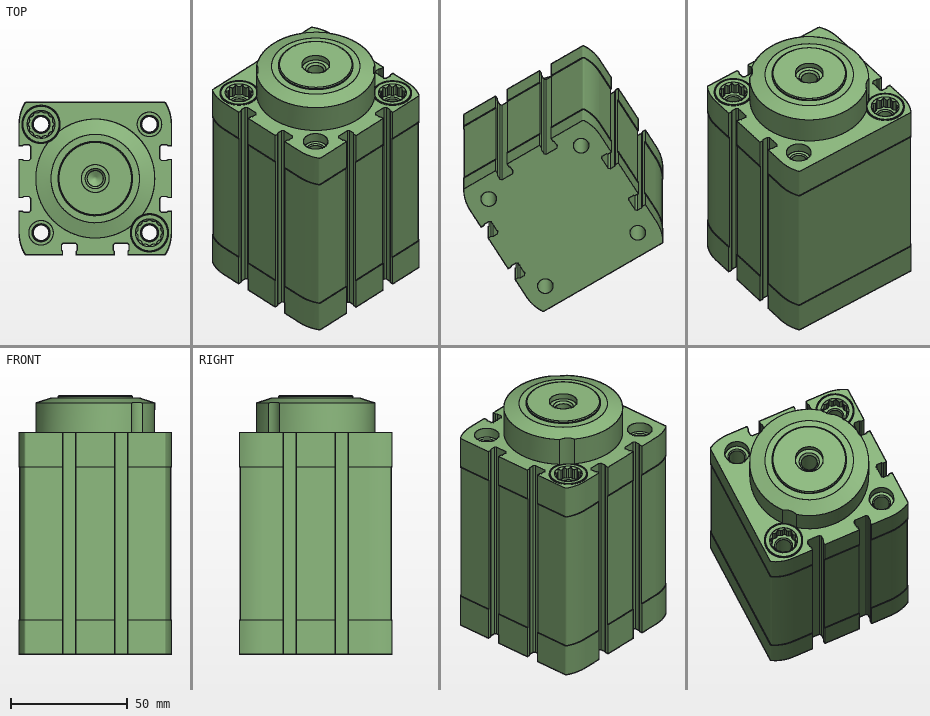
import cadquery as cq
import math

total_height = 111.0

housing_width = 65.5
housing_height = 95.2
cap_height = 14.8
middle_inset = 0.3
corner_arc_side_y = 23.2
corner_arc_end_x = 30.1
corner_fillet = 0.9

slot_offset = 11.1
slot_mouth_width = 5.8
slot_inner_width = 6.7
slot_depth = 5.0
slot_lip = 1.4
slot_corner_chamfer = 0.7

collar_diameter = 51.1
collar_top_diameter = 38.0
collar_edge_z = 107.9
collar_top_z = 110.0

hole_pitch = 46.5
hole_diameter = 6.7
hole_mouth_diameter = 7.8
counterbore_diameter = 10.5
counterbore_depth = 4.4

screw_diameter = 16.4
screw_chamfer = 0.4
socket_depth = 5.5
socket_mouth_diameter = 12.0
socket_tip_radius = 5.8
socket_ridge_radius = 5.1
socket_ridge_half_width = 0.39
socket_points = 12

rod_diameter = 32.0
rod_length = 33.3
rod_chamfer = 0.4
rod_counterbore_diameter = 12.0
rod_counterbore_depth = 2.5
rod_hole_diameter = 6.9
rod_hole_mouth_diameter = 8.7
rod_hole_depth = 20.0
drill_tip_angle = 118.0

half_width = housing_width / 2
hole_offset = hole_pitch / 2
rod_bottom_z = total_height - rod_length
plain_corners = [(hole_offset, hole_offset), (-hole_offset, -hole_offset)]
screw_corners = [(-hole_offset, hole_offset), (hole_offset, -hole_offset)]


def cylinder(diameter, bottom_z, height, center=(0, 0)):
    return cq.Workplane("XY", origin=(*center, bottom_z)).circle(diameter / 2).extrude(height)


def turned(profile, center=(0, 0)):
    """Revolve an (r, z) outline about the vertical axis through center."""
    solid = cq.Workplane("XZ").polyline(profile).close().revolve(360, (0, 0, 0), (0, 1, 0))
    return solid.translate((*center, 0))


def housing_prism(inset, bottom_z, height):
    """Square prism whose X sides bend into the Y sides along tangent corner arcs."""
    side = half_width - inset
    end_x = corner_arc_end_x
    run = side - corner_arc_side_y
    drop = side - end_x
    radius = (drop**2 + run**2) / (2 * drop)
    half_angle = math.asin(run / radius) / 2
    mid_x = side - radius * (1 - math.cos(half_angle))
    mid_y = corner_arc_side_y + radius * math.sin(half_angle)
    prism = (
        cq.Workplane("XY", origin=(0, 0, bottom_z))
        .moveTo(side, -corner_arc_side_y)
        .lineTo(side, corner_arc_side_y)
        .threePointArc((mid_x, mid_y), (end_x, side))
        .lineTo(-end_x, side)
        .threePointArc((-mid_x, mid_y), (-side, corner_arc_side_y))
        .lineTo(-side, -corner_arc_side_y)
        .threePointArc((-mid_x, -mid_y), (-end_x, -side))
        .lineTo(end_x, -side)
        .threePointArc((mid_x, -mid_y), (side, -corner_arc_side_y))
        .close()
        .extrude(height)
    )
    sharp_corners = cq.selectors.BoxSelector(
        (-end_x - corner_fillet, -side - corner_fillet, bottom_z),
        (end_x + corner_fillet, side + corner_fillet, bottom_z + height),
    )
    return prism.edges("|Z").edges(sharp_corners).fillet(corner_fillet)


def t_slot(offset, turn):
    """Full-height T-slot, cut into the -Y side and then turned about Z."""
    floor_y = slot_depth - half_width
    lip_y = slot_lip - half_width
    mouth = slot_mouth_width / 2
    inner = slot_inner_width / 2
    floor_half = inner - slot_corner_chamfer
    slot = (
        cq.Workplane("XY")
        .polyline([
            (offset - mouth, -half_width),
            (offset - mouth, lip_y),
            (offset - inner, lip_y + slot_corner_chamfer),
            (offset - inner, floor_y - slot_corner_chamfer),
            (offset - floor_half, floor_y),
            (offset + floor_half, floor_y),
            (offset + inner, floor_y - slot_corner_chamfer),
            (offset + inner, lip_y + slot_corner_chamfer),
            (offset + mouth, lip_y),
            (offset + mouth, -half_width),
        ])
        .close()
        .extrude(housing_height)
    )
    return slot.rotate((0, 0, 0), (0, 0, 1), turn)


def mouth_chamfer(top_diameter, hole, top_z, center=(0, 0)):
    """45 degree countersink from top_diameter down to the hole diameter."""
    depth = (top_diameter - hole) / 2
    profile = [(0, top_z), (top_diameter / 2, top_z), (hole / 2, top_z - depth), (0, top_z - depth)]
    return turned(profile, center)


def corner_hole(center, floor_z):
    """Through hole countersunk at the recess floor above it."""
    hole = cylinder(hole_diameter, 0, floor_z, center)
    return hole.union(mouth_chamfer(hole_mouth_diameter, hole_diameter, floor_z, center))


def plain_corner_cut(center):
    floor_z = housing_height - counterbore_depth
    recess = cylinder(counterbore_diameter, floor_z, counterbore_depth, center)
    return recess.union(corner_hole(center, floor_z))


def spline_socket(center):
    """Socket with pointed grooves separated by narrow flat ridges."""
    ridge_half_angle = math.asin(socket_ridge_half_width / socket_ridge_radius)
    step = 2 * math.pi / socket_points
    outline = []
    for i in range(socket_points):
        tip_angle = i * step
        ridge_angle = tip_angle + step / 2
        for radius, angle in (
            (socket_tip_radius, tip_angle),
            (socket_ridge_radius, ridge_angle - ridge_half_angle),
            (socket_ridge_radius, ridge_angle + ridge_half_angle),
        ):
            outline.append((radius * math.cos(angle), radius * math.sin(angle)))
    floor_z = housing_height - socket_depth
    return cq.Workplane("XY", origin=(*center, floor_z)).polyline(outline).close().extrude(socket_depth)


def screw_corner_cut(center):
    """Bearing screw head: chamfered rim, splined socket and the hole below it."""
    rim = screw_diameter / 2
    groove = turned([
        (rim - screw_chamfer, housing_height),
        (rim, housing_height),
        (rim, housing_height - screw_chamfer),
    ], center)
    mouth = mouth_chamfer(socket_mouth_diameter, 2 * socket_ridge_radius, housing_height, center)
    hole = corner_hole(center, housing_height - socket_depth)
    clearance = cylinder(screw_diameter, housing_height, total_height - housing_height, center)
    return groove.union(spline_socket(center)).union(mouth).union(hole).union(clearance)


def make_housing():
    middle_height = housing_height - 2 * cap_height
    body = housing_prism(0, 0, cap_height)
    body = body.union(housing_prism(middle_inset, cap_height, middle_height))
    body = body.union(housing_prism(0, housing_height - cap_height, cap_height))
    collar = turned([
        (0, housing_height),
        (collar_diameter / 2, housing_height),
        (collar_diameter / 2, collar_edge_z),
        (collar_top_diameter / 2, collar_top_z),
        (0, collar_top_z),
    ])
    body = body.union(collar)
    for turn in (0, 90, -90):
        for offset in (-slot_offset, slot_offset):
            body = body.cut(t_slot(offset, turn))
    for center in plain_corners:
        body = body.cut(plain_corner_cut(center))
    for center in screw_corners:
        body = body.cut(screw_corner_cut(center))
    return body.cut(cylinder(rod_diameter, rod_bottom_z, rod_length))


def make_rod():
    """Piston rod with a counterbored, countersunk blind hole ending in a drill tip."""
    rod = cylinder(rod_diameter, rod_bottom_z, rod_length).faces(">Z").chamfer(rod_chamfer)
    floor_z = total_height - rod_counterbore_depth
    hole_bottom_z = total_height - rod_hole_depth
    hole_radius = rod_hole_diameter / 2
    tip_length = hole_radius / math.tan(math.radians(drill_tip_angle / 2))
    hole = turned([
        (0, floor_z),
        (hole_radius, floor_z),
        (hole_radius, hole_bottom_z),
        (0, hole_bottom_z - tip_length),
    ])
    rod = rod.cut(cylinder(rod_counterbore_diameter, floor_z, rod_counterbore_depth))
    return rod.cut(hole).cut(mouth_chamfer(rod_hole_mouth_diameter, rod_hole_diameter, floor_z))


housing = make_housing()
piston_rod = make_rod()
result = cq.Compound.makeCompound([housing.val(), piston_rod.val()])